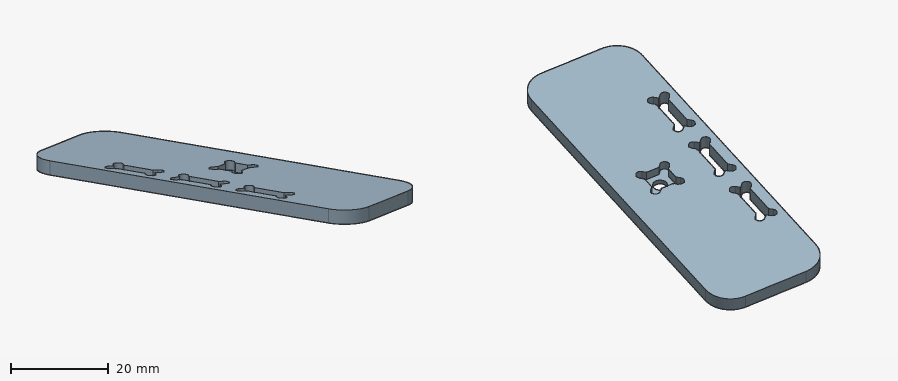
import cadquery as cq
import math

length = 80.0
width = 26.5
thickness = 3.0
corner_radius = 6.0

relief_diameter = 2.0

pocket_side = 5.8
pocket_depth = 2.0
pocket_y = 3.3
hole_diameter = 3.0

slot_count = 3
slot_pitch = 16.0
slot_length = 10.0
slot_width = 3.0
slot_edge_distance = 4.0
slot_y = -width / 2 + slot_edge_distance


def relieved_cutter(x, y, size_x, size_y, depth):
    """Rectangular cutter below the top face, with diagonal reliefs ending round at its corners."""
    base = cq.Workplane("XY", origin=(x, y, thickness - depth))
    cutter = base.rect(size_x, size_y).extrude(depth)
    relief_reach = min(size_x, size_y) / 4
    relief_run = relief_reach * math.sqrt(2)
    for side_x in (-1, 1):
        for side_y in (-1, 1):
            middle_x = side_x * (size_x - relief_reach) / 2
            middle_y = side_y * (size_y - relief_reach) / 2
            relief = (
                base.center(middle_x, middle_y)
                .slot2D(relief_run + relief_diameter, relief_diameter, 45 * side_x * side_y)
                .extrude(depth)
            )
            cutter = cutter.union(relief)
    return cutter


plate = cq.Workplane("XY").box(length, width, thickness, centered=(True, True, False))
plate = plate.edges("|Z").fillet(corner_radius)

plate = plate.cut(relieved_cutter(0, pocket_y, pocket_side, pocket_side, pocket_depth))
hole = cq.Workplane("XY").center(0, pocket_y).circle(hole_diameter / 2).extrude(thickness)
plate = plate.cut(hole)

for index in range(slot_count):
    slot_x = (index - (slot_count - 1) / 2) * slot_pitch
    plate = plate.cut(relieved_cutter(slot_x, slot_y, slot_length, slot_width, thickness))

result = plate